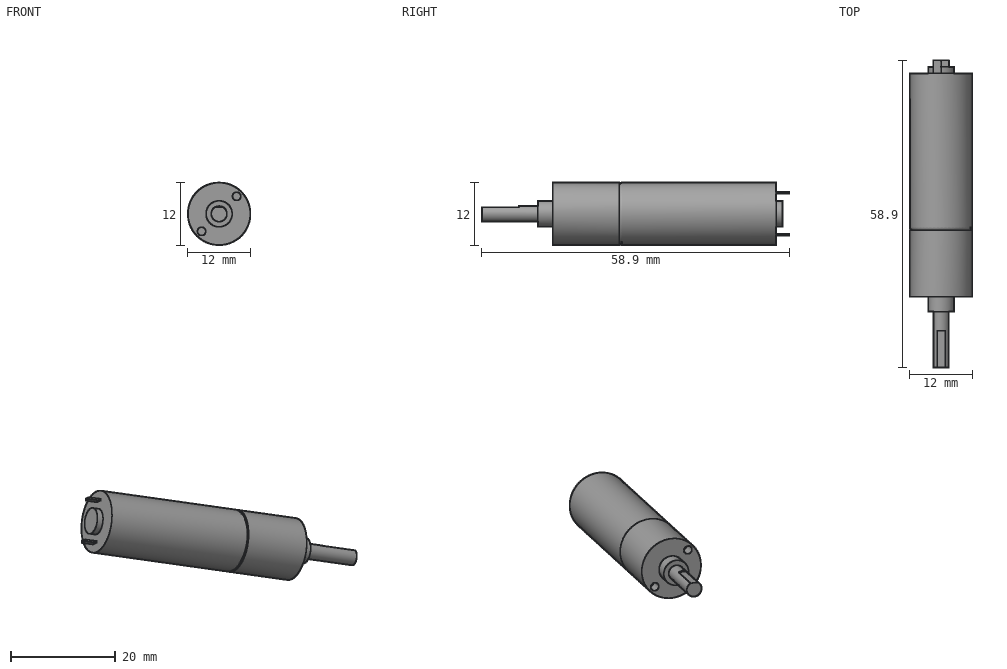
import cadquery as cq
import math

TOTAL_LENGTH = 58.9
COLLAR_FRONT = 10.7
BODY_FRONT = 13.55
SEAM_FRONT = 26.3
SEAM_BACK = 26.85
BODY_BACK = 56.35
BOSS_BACK = 57.6

BODY_DIAMETER = 12.0
COLLAR_DIAMETER = 5.0
SHAFT_DIAMETER = 3.0

FLAT_LENGTH = 7.05
FLAT_HEIGHT = 1.3

HOLE_DIAMETER = 1.6
HOLE_DEPTH = 2.95
HOLE_OFFSET = 3.35

TERMINAL_WIDTH = 1.55
TERMINAL_THICKNESS = 0.35
TERMINAL_OFFSET_X = TERMINAL_WIDTH / 2
TERMINAL_OFFSET_Z = 4.0
TERMINAL_CORNER_RADIUS = 0.25


def cylinder(diameter, start, end, x=0, z=0):
    """Cylinder along +Y between two stations, centred at (x, z)."""
    return cq.Workplane(
        cq.Solid.makeCylinder(diameter / 2, end - start, cq.Vector(x, start, z), cq.Vector(0, 1, 0))
    )


def seam():
    """Ring cut at the gearbox joint that leaves the motor's front edge with a quarter-round."""
    outer = BODY_DIAMETER / 2
    radius = SEAM_BACK - SEAM_FRONT
    arc_middle = radius * (1 - math.sqrt(0.5))
    return (
        cq.Workplane("XY")
        .moveTo(outer, SEAM_FRONT)
        .lineTo(outer - radius, SEAM_FRONT)
        .threePointArc((outer - arc_middle, SEAM_FRONT + arc_middle), (outer, SEAM_BACK))
        .close()
        .revolve(360, (0, 0, 0), (0, 1, 0))
    )


def shaft_flat():
    """Block that removes the top of the shaft near its tip."""
    return cq.Workplane("XY").box(
        SHAFT_DIAMETER, FLAT_LENGTH, SHAFT_DIAMETER, centered=(True, False, False)
    ).translate((0, 0, FLAT_HEIGHT))


def terminal(x, z):
    """Thin tab with rounded outer corners, standing on the back face."""
    return (
        cq.Workplane("XY")
        .box(TERMINAL_WIDTH, TOTAL_LENGTH - BODY_BACK, TERMINAL_THICKNESS, centered=(True, False, True))
        .edges("|Z and >Y")
        .fillet(TERMINAL_CORNER_RADIUS)
        .translate((x, BODY_BACK, z))
    )


result = cylinder(BODY_DIAMETER, BODY_FRONT, BODY_BACK).cut(seam())
result = result.union(cylinder(COLLAR_DIAMETER, COLLAR_FRONT, BODY_FRONT))
result = result.union(cylinder(COLLAR_DIAMETER, BODY_BACK, BOSS_BACK))
result = result.union(cylinder(SHAFT_DIAMETER, 0, COLLAR_FRONT).cut(shaft_flat()))

for side in (-1, 1):
    hole = cylinder(
        HOLE_DIAMETER, BODY_FRONT, BODY_FRONT + HOLE_DEPTH, side * HOLE_OFFSET, side * HOLE_OFFSET
    )
    result = result.cut(hole)
    result = result.union(terminal(-side * TERMINAL_OFFSET_X, side * TERMINAL_OFFSET_Z))

result = result.translate((0, -TOTAL_LENGTH / 2, 0))